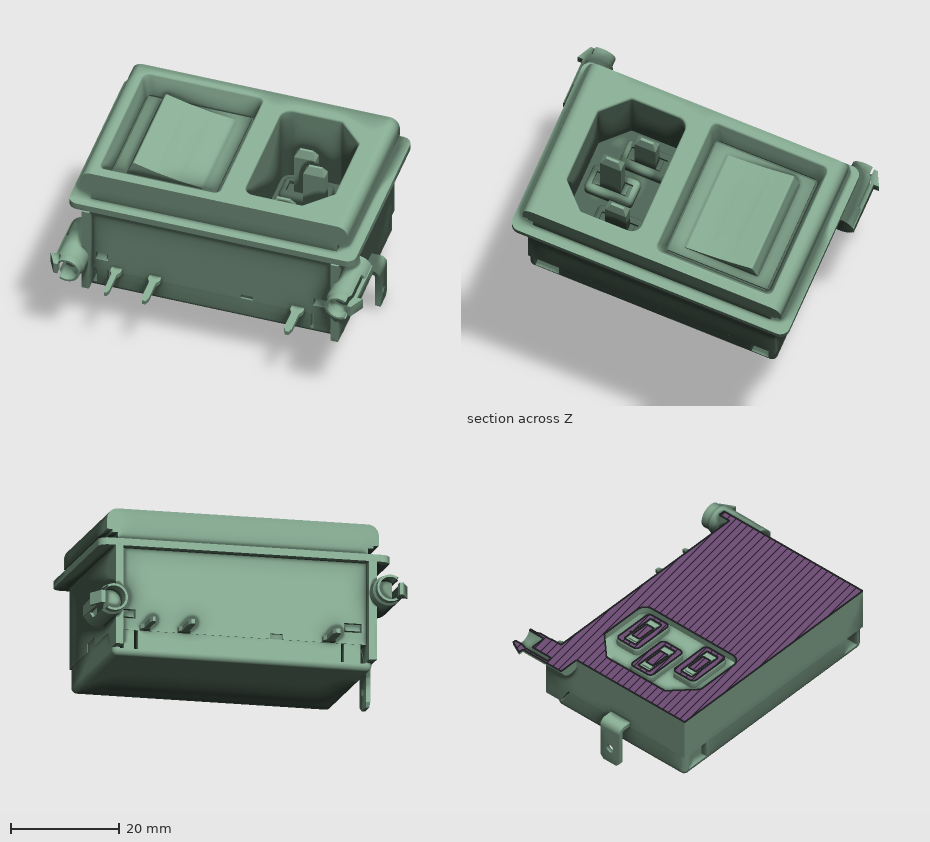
import cadquery as cq


flange_length = 55.7
flange_width = 36.05
flange_thickness = 1.35
flange_corner_radius = 1.8
bezel_length = 51.95
bezel_width = 31.8
bezel_top = 7.5
bezel_edge_radius = 2.05
rim_radius = 0.4
bezel_lip_z = 3.5
lip_step_z = 3.0
neck_length = 47.8

housing_length = 49.9
wall_y = -bezel_width / 2
back_y = bezel_width / 2
housing_bottom = -15.55
side_plate_thickness = 1.45
side_plate_front = -18.4
side_plate_bottom = -18.85
side_plate_inner_x = housing_length / 2 - side_plate_thickness

cover_inset = 0.1
cover_bottom = -20.25
cover_edge_radius = 1.05
cover_floor_top = -19.05
cover_wall = 1.2
cover_half_length = housing_length / 2 - cover_inset
cover_front = wall_y + cover_inset
cover_back = back_y - cover_inset
slit_top_y = -12.45
slit_bottom_y = -14.5
slit_width = 0.35
notch_width = 5.2
notch_top = -13.9

latches = [
    {"bay": (-side_plate_inner_x, -20.0), "leg": (-22.7, -20.8), "window": (-23.0, -20.55)},
    {"bay": (18.75, side_plate_inner_x), "leg": (19.35, 22.45), "window": (19.3, 22.7)},
]
window_bottom = -13.35
window_top = -11.6
window_depth = 0.85
nose_gap = 0.3

recess_center_x = -11.35
recess_length = 23.3
recess_width = 27.55
recess_floor = 4.0
recess_floor_length = 20.9
recess_floor_width = 24.0
recess_corner_radius = 1.2
frame_gap = 0.4
frame_gap_depth = 0.35
rocker_x = (-18.85, -3.95)
rocker_ridge_x = -17.6
rocker_low_x = -4.4
rocker_half_y = 9.95
rocker_high_z = 7.0
rocker_low_z = 4.3
rocker_dip = 0.35
rocker_ridge_radius = 0.4

inlet_x = (4.55, 20.75)
inlet_half_y = 12.1
inlet_draft = 0.8
inlet_chamfer = 4.8
inlet_slant_radius = 0.6
inlet_corner_radius = 1.95
inlet_depth = 15.8
inlet_floor = bezel_top - inlet_depth
socket_length = 9.65
socket_width = 5.6
socket_height = 1.8
socket_corner_radius = 1.05
socket_edge_radius = 0.9
socket_pocket_length = 7.3
socket_pocket_width = 2.65
socket_pocket_depth = 0.7
blade_length = 4.2
blade_width = 1.95
blade_shoulder_length = 5.9
blade_tip_height = 1.45
blade_tip_length = 2.5
blade_tip_width = 0.5
line_blade_x = 10.7
line_blade_y = 7.0
line_blade_top = 3.3
earth_blade_x = 14.7
earth_blade_top = 6.25

front_end_y = -23.0
sheet_z = (-15.4, -14.55)
pins = [(-18.8, 1.05), (-11.35, 1.35), (16.4, 1.5)]
pin_shoulder_extra = 1.0
pin_shoulder_y = -16.85
pin_neck_y = -17.7
pin_taper_y = -21.95
pin_tip_ratio = 0.5
pin_notch_extra = 1.0
pin_notch_depth = 0.5
pin_notch_top = -14.5
spare_notch_x = (5.15, 7.6)

clip_offset_x = 26.4
clip_left_z = -11.2
clip_right_z = -6.2
clip_back_y = -10.8
clip_radius = 2.85
clip_end_radius = 2.55
clip_bore_radius = 2.1
clip_bore_back_y = -19.4
clip_chamfer_y = (-21.55, -20.95)
clip_arm_back_y = -14.75
clip_slot_width = 0.9
clip_arm_width = 2.3
clip_arm_thickness = 0.65
clip_slot_offset = 1.2
clip_flat_width = 2.05
barb_tip_x = 30.35
barb_y = -20.2
barb_end_x = 28.9
barb_inner_x = 28.15

tab_outer_x = flange_length / 2
tab_thickness = sheet_z[1] - sheet_z[0]
tab_width = 4.75
tab_bottom = -23.65
tab_bend_radius = 1.35
tab_corner_y = 0.8
tab_corner_z = 0.85
tab_tip_thinning = 0.2
tab_hole_radius = 0.85
tab_hole_z = -20.3


def box(x, y, z):
    """Box between the (low, high) pairs on the three axes."""
    return (
        cq.Workplane("XY")
        .box(x[1] - x[0], y[1] - y[0], z[1] - z[0], centered=False)
        .translate((x[0], y[0], z[0]))
    )


def rectangle_loft(lower, upper):
    """Solid between two rectangles, each given as (length, width, z)."""
    return (
        cq.Workplane("XY", origin=(0, 0, lower[2]))
        .rect(lower[0], lower[1])
        .workplane(offset=upper[2] - lower[2])
        .rect(upper[0], upper[1])
        .loft(ruled=True)
    )


def make_bezel():
    half = bezel_length / 2
    neck = neck_length / 2
    step = housing_length / 2
    profile = [
        (-neck, 0), (-neck, lip_step_z), (-step, lip_step_z), (-step, bezel_lip_z), (-half, bezel_lip_z),
        (-half, bezel_top), (half, bezel_top),
        (half, bezel_lip_z), (step, bezel_lip_z), (step, lip_step_z), (neck, lip_step_z), (neck, 0),
    ]
    bezel = cq.Workplane("XZ").polyline(profile).close().extrude(bezel_width / 2, both=True)
    return bezel.edges("|Y and >Z").fillet(bezel_edge_radius)


def make_flange():
    flange = cq.Workplane("XY").rect(flange_length, flange_width).extrude(flange_thickness)
    return flange.edges("|Z").fillet(flange_corner_radius)


def make_housing():
    half = housing_length / 2
    housing = box((-half, half), (wall_y, back_y), (housing_bottom, 0))
    plate_outline = [
        (wall_y, 0), (side_plate_front, 0), (side_plate_front, side_plate_bottom),
        (slit_bottom_y - slit_width, side_plate_bottom), (slit_top_y - slit_width, housing_bottom),
        (slit_top_y, 0),
    ]
    for inner_x in (-half, side_plate_inner_x):
        plate = cq.Workplane("YZ", origin=(inner_x, 0, 0)).polyline(plate_outline).close()
        housing = housing.union(plate.extrude(side_plate_thickness))
    for x in ((-half, -cover_half_length), (cover_half_length, half)):
        notch = box(x, (-notch_width / 2, notch_width / 2), (housing_bottom, notch_top))
        housing = housing.cut(notch)
    return housing


def make_cover():
    half = cover_half_length
    cover = box((-half, half), (cover_front, cover_back), (cover_bottom, housing_bottom))
    cover = cover.edges("|Z").fillet(cover_edge_radius).faces("<Z").edges().fillet(cover_edge_radius)
    cavity_y = (cover_front + cover_wall, cover_back - cover_wall)
    cavity_z = (cover_floor_top, housing_bottom)
    cover = cover.cut(box((-side_plate_inner_x, side_plate_inner_x), cavity_y, cavity_z))
    for latch in latches:
        cover = cover.cut(box(latch["bay"], (cover_front, cover_back), cavity_z))
        cover = cover.union(box(latch["leg"], (cover_front, cavity_y[0]), cavity_z))
    corner = [
        (slit_top_y, housing_bottom), (slit_bottom_y, side_plate_bottom),
        (wall_y, side_plate_bottom), (wall_y, housing_bottom),
    ]
    for inner_x in (-housing_length / 2, side_plate_inner_x):
        relief = cq.Workplane("YZ", origin=(inner_x, 0, 0)).polyline(corner).close()
        cover = cover.cut(relief.extrude(side_plate_thickness))
    return cover


def latch_window(latch):
    """Pocket in the front wall around the sloped nose of a latch."""
    start, end = latch["window"]
    floor_y = wall_y + window_depth
    pocket = box((start, end), (wall_y, floor_y), (window_bottom, window_top))
    nose_bottom = window_bottom + nose_gap
    outline = [(floor_y, window_top - nose_gap), (wall_y, nose_bottom), (floor_y, nose_bottom)]
    nose = cq.Workplane("YZ", origin=(start + nose_gap, 0, 0)).polyline(outline).close()
    return pocket.cut(nose.extrude(end - start - 2 * nose_gap))


def make_switch_recess():
    """Sloped recess with a shallow gap around the rocker frame at its floor."""
    recess = rectangle_loft(
        (recess_floor_length, recess_floor_width, recess_floor),
        (recess_length, recess_width, bezel_top),
    )
    recess = recess.edges("not(#Z)").fillet(recess_corner_radius)
    gap = (
        cq.Workplane("XY", origin=(0, 0, recess_floor - frame_gap_depth))
        .rect(recess_floor_length, recess_floor_width)
        .rect(recess_floor_length - 2 * frame_gap, recess_floor_width - 2 * frame_gap)
        .extrude(frame_gap_depth)
    )
    return recess.union(gap).translate((recess_center_x, 0, 0))


def make_rocker():
    middle = ((rocker_ridge_x + rocker_low_x) / 2, (rocker_high_z + rocker_low_z) / 2 - rocker_dip)
    rocker = (
        cq.Workplane("XZ")
        .moveTo(rocker_x[0], recess_floor)
        .lineTo(rocker_ridge_x, rocker_high_z)
        .threePointArc(middle, (rocker_low_x, rocker_low_z))
        .lineTo(rocker_x[1], recess_floor)
        .close()
        .extrude(rocker_half_y, both=True)
    )
    return rocker.edges("|Y and >Z").fillet(rocker_ridge_radius)


def make_inlet_cavity():
    left, right = inlet_x
    slant_x = right - inlet_chamfer
    slant_y = inlet_half_y - inlet_chamfer
    outline = [
        (left, -inlet_half_y), (slant_x, -inlet_half_y), (right, -slant_y),
        (right, slant_y), (slant_x, inlet_half_y), (left, inlet_half_y),
    ]
    cavity = cq.Workplane("XY", origin=(0, 0, bezel_top)).polyline(outline).close()
    cavity = cavity.extrude(-inlet_depth, taper=inlet_draft)
    cavity = cavity.edges("not(#Z)").edges("<X").fillet(inlet_corner_radius)
    slant_edges = cavity.edges("not(#Z)").edges(cq.selectors.BoxSelector(
        (slant_x - inlet_slant_radius, -inlet_half_y, inlet_floor), (right, inlet_half_y, bezel_top)
    ))
    return slant_edges.fillet(inlet_slant_radius)


def round_rims(body):
    """Round the rims of the openings in the top face."""
    rims = [edge for wire in body.faces(">Z").val().innerWires() for edge in wire.Edges()]
    return body.newObject(rims).fillet(rim_radius)


def make_contact(x, y, top):
    """Rounded socket base on the inlet floor with a chisel-tipped blade in its pocket."""
    base_top = inlet_floor + socket_height
    base = cq.Workplane("XY", origin=(0, 0, inlet_floor)).rect(socket_length, socket_width)
    base = base.extrude(socket_height).edges("|Z").fillet(socket_corner_radius)
    base = base.faces(">Z").edges().fillet(socket_edge_radius)
    pocket_floor = base_top - socket_pocket_depth
    pocket = cq.Workplane("XY", origin=(0, 0, pocket_floor)).rect(socket_pocket_length, socket_pocket_width)
    base = base.cut(pocket.extrude(socket_pocket_depth))
    shoulder = cq.Workplane("XY", origin=(0, 0, pocket_floor)).rect(blade_shoulder_length, blade_width)
    base = base.union(shoulder.extrude(socket_pocket_depth / 2))
    tip_start = top - blade_tip_height
    blade = cq.Workplane("XY", origin=(0, 0, pocket_floor)).rect(blade_length, blade_width)
    blade = blade.extrude(tip_start - pocket_floor)
    tip = rectangle_loft((blade_length, blade_width, tip_start), (blade_tip_length, blade_tip_width, top))
    return base.union(blade).union(tip).translate((x, y, 0))


def make_pin(x, width):
    """Flat board pin: wide at the wall, slim along its length, tapered at the end."""
    half = width / 2
    wide = half + pin_shoulder_extra / 2
    tip = half * pin_tip_ratio
    side = [
        (wide, wall_y + pin_notch_depth), (wide, pin_shoulder_y), (half, pin_neck_y),
        (half, pin_taper_y), (tip, front_end_y),
    ]
    outline = side + [(-px, py) for px, py in reversed(side)]
    pin = cq.Workplane("XY", origin=(x, 0, sheet_z[0])).polyline(outline).close()
    return pin.extrude(sheet_z[1] - sheet_z[0])


def wall_notch(x):
    """Shallow notch at the lower edge of the front wall."""
    return box(x, (wall_y, wall_y + pin_notch_depth), (housing_bottom, pin_notch_top))


def make_clip(side, z):
    """Split board clip with a barbed spring arm on its outer side; side is -1 or +1."""
    center = clip_offset_x
    outline = [
        (0, clip_back_y), (clip_radius, clip_back_y), (clip_radius, clip_chamfer_y[1]),
        (clip_end_radius, clip_chamfer_y[0]), (clip_end_radius, front_end_y), (0, front_end_y),
    ]
    clip = cq.Workplane("XY").polyline(outline).close().revolve(360, (0, 0), (0, 1)).translate((center, 0, 0))
    outer_x = center + clip_radius
    flat = box(
        (center, outer_x),
        (clip_arm_back_y, clip_back_y),
        (-clip_flat_width / 2, clip_flat_width / 2),
    )
    clip = clip.union(flat)
    bore = cq.Workplane("XZ", origin=(center, clip_bore_back_y, 0)).circle(clip_bore_radius)
    clip = clip.cut(bore.extrude(clip_bore_back_y - front_end_y))
    slot_half = clip_arm_width / 2 + clip_slot_width
    arm_inner_x = outer_x - clip_arm_thickness
    slot_x = (center + clip_slot_offset, outer_x)
    clip = clip.cut(box(slot_x, (front_end_y, clip_arm_back_y), (-slot_half, slot_half)))
    arm_outline = [
        (arm_inner_x, clip_arm_back_y), (outer_x, clip_arm_back_y), (outer_x, barb_y),
        (barb_tip_x, barb_y), (barb_end_x, front_end_y),
        (barb_inner_x, front_end_y), (barb_inner_x, clip_chamfer_y[0]), (arm_inner_x, barb_y),
    ]
    arm = cq.Workplane("XY").polyline(arm_outline).close().extrude(clip_arm_width / 2, both=True)
    clip = clip.union(arm).translate((0, 0, z))
    return clip if side > 0 else clip.mirror("YZ")


def make_earth_tab():
    inner_x = tab_outer_x - tab_thickness
    corner_start = tab_bottom + tab_corner_z
    profile = [
        (side_plate_inner_x, sheet_z[0]), (inner_x, sheet_z[0]), (inner_x, corner_start),
        (inner_x + tab_tip_thinning, tab_bottom), (tab_outer_x, tab_bottom),
        (tab_outer_x, sheet_z[1]), (side_plate_inner_x, sheet_z[1]),
    ]
    half = tab_width / 2
    tab = cq.Workplane("XZ").polyline(profile).close().extrude(half, both=True)
    tab = tab.edges("|Y and >X and >Z").fillet(tab_bend_radius)
    inner_bend = cq.selectors.NearestToPointSelector((inner_x, 0, sheet_z[0]))
    tab = tab.edges("|Y").edges(inner_bend).fillet(tab_bend_radius - tab_thickness)
    face = [
        (-half, 0), (-half, corner_start), (-half + tab_corner_y, tab_bottom),
        (half - tab_corner_y, tab_bottom), (half, corner_start), (half, 0),
    ]
    tab = tab.intersect(cq.Workplane("YZ").polyline(face).close().extrude(flange_length))
    hole = cq.Workplane("YZ", origin=(inner_x, 0, 0)).center(0, tab_hole_z).circle(tab_hole_radius)
    return tab.cut(hole.extrude(tab_thickness))


body = make_bezel().union(make_flange()).union(make_housing())

body = round_rims(body.cut(make_switch_recess()).cut(make_inlet_cavity()))
body = body.union(make_rocker())
for sign in (-1, 1):
    body = body.union(make_contact(line_blade_x, sign * line_blade_y, line_blade_top))
body = body.union(make_contact(earth_blade_x, 0, earth_blade_top))

body = body.union(make_cover())
for latch in latches:
    body = body.cut(latch_window(latch))

body = body.cut(wall_notch(spare_notch_x))
for pin_x, pin_width in pins:
    notch_half = (pin_width + pin_notch_extra) / 2
    body = body.cut(wall_notch((pin_x - notch_half, pin_x + notch_half)))
    body = body.union(make_pin(pin_x, pin_width))

body = body.union(make_clip(-1, clip_left_z)).union(make_clip(1, clip_right_z))
result = body.union(make_earth_tab())